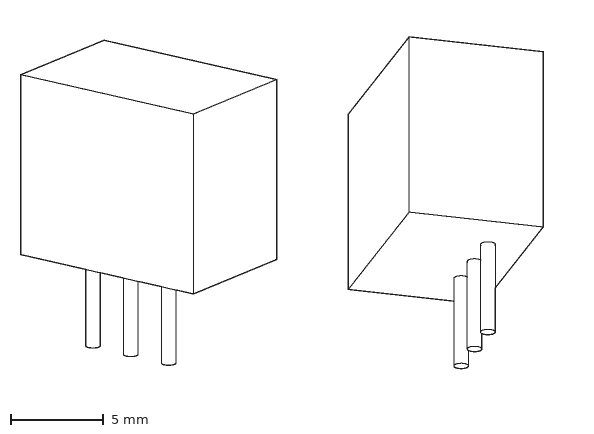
import cadquery as cq

HOUSING_LENGTH = 11.6
HOUSING_WIDTH = 7.55
TOTAL_HEIGHT = 15.3
PIN_LENGTH = 5.1
HOUSING_HEIGHT = TOTAL_HEIGHT - PIN_LENGTH

PIN_DIAMETER = 0.8
PIN_COUNT = 3
PIN_PITCH = 2.54
PIN_ROW_Y = -1.62


def make_housing():
    """Plain rectangular block standing on the Z = 0 plane."""
    return cq.Workplane("XY").box(
        HOUSING_LENGTH, HOUSING_WIDTH, HOUSING_HEIGHT, centered=(True, True, False)
    )


def make_pin(x):
    """Round pin hanging from the underside of the housing."""
    return cq.Workplane("XY").center(x, PIN_ROW_Y).circle(PIN_DIAMETER / 2).extrude(-PIN_LENGTH)


housing = make_housing()

pins = []
for index in range(PIN_COUNT):
    pin_x = (index - (PIN_COUNT - 1) / 2) * PIN_PITCH
    pins.append(make_pin(pin_x).val())

result = cq.Compound.makeCompound([housing.val(), *pins])